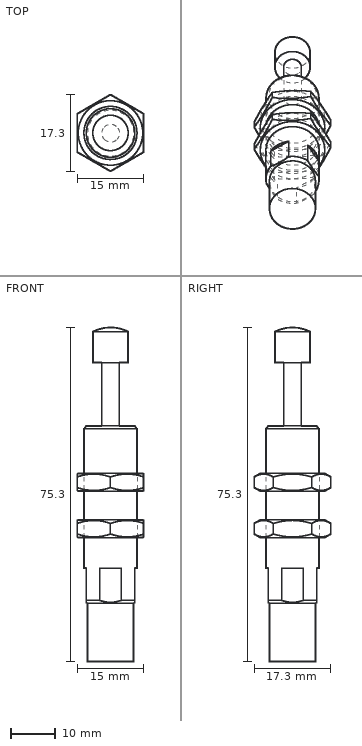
import cadquery as cq
import math

TOTAL_HEIGHT = 75.3
TAIL_DIAMETER = 10.4
BARREL_DIAMETER = 12.0
BARREL_BOTTOM = 13.1
BARREL_TOP = 53.1
TOP_CHAMFER_WIDTH = 0.5
BARREL_CHAMFER_HEIGHT = 0.7
ROD_DIAMETER = 4.0
CAP_DIAMETER = 8.0
CAP_BOTTOM = 67.3
DOME_HEIGHT = 1.0

FLAT_COUNT = 4
ACROSS_FLATS = 11.0
FLATS_TOP = 21.1

NUT_ACROSS_FLATS = 15.0
NUT_THICKNESS = 4.0
NUT_FACE_DIAMETER = 14.5
NUT_SIDES = 6
NUT_CHAMFER_ANGLE = 30.0
LOWER_NUT_BOTTOM = 27.9
NUT_PITCH = 10.5


def make_turned_body():
    """Revolve the tail, barrel, rod and domed cap as one solid."""
    tail_radius = TAIL_DIAMETER / 2
    barrel_radius = BARREL_DIAMETER / 2
    rod_radius = ROD_DIAMETER / 2
    cap_radius = CAP_DIAMETER / 2
    dome_base = TOTAL_HEIGHT - DOME_HEIGHT

    dome_radius = (cap_radius**2 + DOME_HEIGHT**2) / (2 * DOME_HEIGHT)
    half_angle = math.asin(cap_radius / dome_radius) / 2
    dome_mid_x = dome_radius * math.sin(half_angle)
    dome_mid_z = TOTAL_HEIGHT - dome_radius * (1 - math.cos(half_angle))

    return (
        cq.Workplane("XZ")
        .moveTo(0, 0)
        .lineTo(tail_radius, 0)
        .lineTo(tail_radius, BARREL_BOTTOM)
        .lineTo(barrel_radius, BARREL_BOTTOM + BARREL_CHAMFER_HEIGHT)
        .lineTo(barrel_radius, BARREL_TOP - BARREL_CHAMFER_HEIGHT)
        .lineTo(barrel_radius - TOP_CHAMFER_WIDTH, BARREL_TOP)
        .lineTo(rod_radius, BARREL_TOP)
        .lineTo(rod_radius, CAP_BOTTOM)
        .lineTo(cap_radius, CAP_BOTTOM)
        .lineTo(cap_radius, dome_base)
        .threePointArc((dome_mid_x, dome_mid_z), (0, TOTAL_HEIGHT))
        .close()
        .revolve(360, (0, 0, 0), (0, 1, 0))
    )


def cut_wrench_flats(body):
    """Cut equally spaced flats from the barrel's lower end up to FLATS_TOP."""
    cutter = cq.Workplane("XY").box(
        BARREL_DIAMETER, BARREL_DIAMETER, FLATS_TOP - BARREL_BOTTOM, centered=(False, True, False)
    ).translate((ACROSS_FLATS / 2, 0, BARREL_BOTTOM))
    for index in range(FLAT_COUNT):
        angle = index * 360 / FLAT_COUNT
        body = body.cut(cutter.rotate((0, 0, 0), (0, 0, 1), angle))
    return body


def make_nut(bottom):
    """Make a hexagon nut with conically chamfered corners and a bore that fits the barrel."""
    corner_diameter = NUT_ACROSS_FLATS / math.cos(math.pi / NUT_SIDES)
    corner_radius = corner_diameter / 2
    face_radius = NUT_FACE_DIAMETER / 2
    chamfer_height = (corner_radius - face_radius) * math.tan(math.radians(NUT_CHAMFER_ANGLE))

    hexagon = (
        cq.Workplane("XY")
        .polygon(NUT_SIDES, corner_diameter)
        .extrude(NUT_THICKNESS)
        .rotate((0, 0, 0), (0, 0, 1), 90)
    )
    chamfer_envelope = (
        cq.Workplane("XZ")
        .moveTo(0, 0)
        .lineTo(face_radius, 0)
        .lineTo(corner_radius, chamfer_height)
        .lineTo(corner_radius, NUT_THICKNESS - chamfer_height)
        .lineTo(face_radius, NUT_THICKNESS)
        .lineTo(0, NUT_THICKNESS)
        .close()
        .revolve(360, (0, 0, 0), (0, 1, 0))
    )
    bore = cq.Workplane("XY").circle(BARREL_DIAMETER / 2).extrude(NUT_THICKNESS)
    return hexagon.intersect(chamfer_envelope).cut(bore).translate((0, 0, bottom))


absorber = cut_wrench_flats(make_turned_body())
nut_bottoms = [LOWER_NUT_BOTTOM, LOWER_NUT_BOTTOM + NUT_PITCH]
nuts = [make_nut(bottom).solids().val() for bottom in nut_bottoms]

result = cq.Compound.makeCompound([absorber.solids().val(), *nuts])